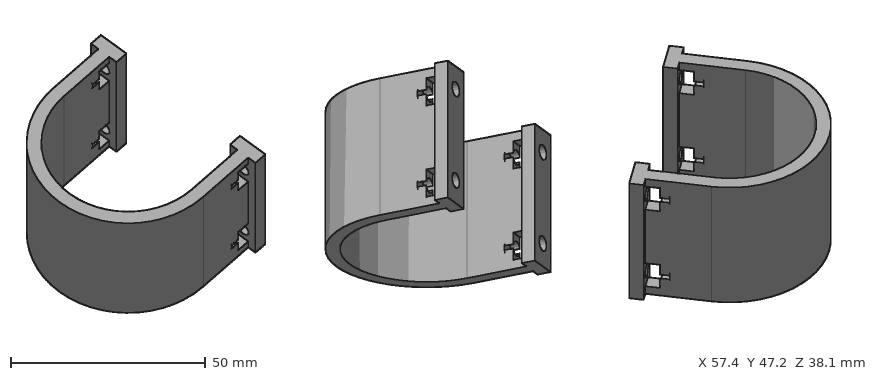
import cadquery as cq

INCH = 25.4
thickness = 0.15 * INCH
height = 1.5 * INCH
outer_radius = 1.03 * INCH
arm_length = 0.83 * INCH
flange_width = 0.35 * INCH

window_height = 0.3 * INCH
window_depth = 0.15 * INCH
window_margin = 0.1 * INCH
hole_diameter = 4.0
hole_depth = 0.4 * INCH

inner_radius = outer_radius - thickness
arm_x = outer_radius - thickness / 2
flange_front_y = arm_length - thickness
window_z = height / 2 - window_margin - window_height / 2
fastener_places = [(side * arm_x, level * window_z) for side in (-1, 1) for level in (-1, 1)]


def centred_box(x, y_min, z, x_size, y_size, z_size):
    """Box centred on x and z that extends from y_min in +Y."""
    return cq.Workplane("XY").box(x_size, y_size, z_size, centered=(True, False, True)).translate((x, y_min, z))


def make_band():
    """U-shaped band: a half ring with two straight arms."""
    return (
        cq.Workplane("XY")
        .workplane(offset=-height / 2)
        .moveTo(-outer_radius, arm_length)
        .lineTo(-outer_radius, 0)
        .threePointArc((0, -outer_radius), (outer_radius, 0))
        .lineTo(outer_radius, arm_length)
        .lineTo(inner_radius, arm_length)
        .lineTo(inner_radius, 0)
        .threePointArc((0, -inner_radius), (-inner_radius, 0))
        .lineTo(-inner_radius, arm_length)
        .close()
        .extrude(height)
    )


def make_flange(side):
    """Full-height flange across the end of one arm."""
    return centred_box(side * arm_x, flange_front_y, 0, flange_width, thickness, height)


def make_fastener_cut(x, z):
    """Opening through the arm, and the screw hole along Y through the flange and on into the arm."""
    window_y = flange_front_y - window_depth
    window = centred_box(x, window_y, z, thickness, window_depth, window_height)
    hole = (
        cq.Workplane("XZ", origin=(x, arm_length, z))
        .circle(hole_diameter / 2)
        .extrude(hole_depth)
    )
    return window.union(hole)


result = make_band()
for arm_side in (-1, 1):
    result = result.union(make_flange(arm_side))
for place_x, place_z in fastener_places:
    result = result.cut(make_fastener_cut(place_x, place_z))